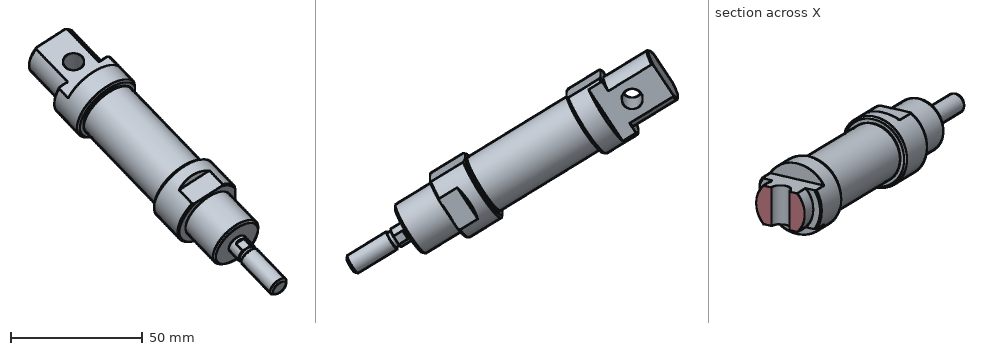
import cadquery as cq
import math


total_length = 141.0

cap_radius = 14.5
cap_side_flat = 13.1
cap_chamfer = 0.5
cap_joint_chamfer = 0.8

tongue_length = 20.0
tongue_radius = 11.0
tongue_thickness = 16.0
shoulder_x = 26.0
rear_cap_end = 35.35
pivot_hole_x = 14.0
pivot_hole_diameter = 8.0

tube_radius = 12.0
collar_length = 0.35

front_cap_start = 81.2
front_cap_end = 97.0
nose_end = 114.7
nose_radius = 11.0
nose_chamfer = 0.8
cap_wrench_size = 25.0
cap_wrench_start = 88.4

rod_radius = 4.0
rod_wrench_size = 7.0
rod_wrench_start = 116.5
relief_start = 120.7
relief_end = 122.5
relief_radius = 3.3
rod_tip_chamfer = 0.8

runout_angle = math.radians(60)
cutter_margin = 1.0


def cylinder(start, end, radius):
    """Solid cylinder on the X axis."""
    return cq.Workplane("YZ", origin=(start, 0, 0)).circle(radius).extrude(end - start)


def wrench_flat_cutters(start, end, wrench_size, radius):
    """Material above and below a pair of flats, with a sloped run-out at the start."""
    half = wrench_size / 2
    top = radius + cutter_margin
    runout = (top - half) / math.tan(runout_angle)
    upper = (
        cq.Workplane("XZ")
        .polyline([(start, half), (end, half), (end, top), (start - runout, top)])
        .close()
        .extrude(radius, both=True)
    )
    return upper.union(upper.mirror("XY"))


def cut_side_flat(cap):
    """Trim the +Y side of a cap to a flat."""
    box = cap.val().BoundingBox()
    trim = (
        cq.Workplane("XY")
        .box(box.xlen, cap_radius, 2 * cap_radius, centered=(False, False, True))
        .translate((box.xmin, cap_side_flat, 0))
    )
    return cap.cut(trim)


def make_rear_cap():
    cap = cylinder(tongue_length, rear_cap_end, cap_radius)
    cap = cap.faces("<X").chamfer(cap_chamfer)
    cap = cap.faces(">X").chamfer(cap_joint_chamfer)
    tongue = cylinder(0, tongue_length, tongue_radius).faces("<X").chamfer(cap_chamfer)
    cap = cut_side_flat(cap.union(tongue))

    slab = cq.Workplane("XY").box(
        shoulder_x, 2 * cap_radius, tongue_thickness, centered=(False, True, True)
    )
    cap = cap.intersect(slab.union(cylinder(shoulder_x, rear_cap_end, cap_radius)))

    pivot_hole = (
        cq.Workplane("XY")
        .center(pivot_hole_x, 0)
        .circle(pivot_hole_diameter / 2)
        .extrude(tongue_thickness, both=True)
    )
    collar = cylinder(rear_cap_end, rear_cap_end + collar_length, tube_radius)
    return cap.cut(pivot_hole).union(collar)


def make_tube():
    return cylinder(rear_cap_end + collar_length, front_cap_start - collar_length, tube_radius)


def make_front_cap():
    cap = cylinder(front_cap_start, front_cap_end, cap_radius)
    cap = cap.faces("<X").chamfer(cap_joint_chamfer)
    cap = cap.faces(">X").chamfer(cap_chamfer)
    cap = cap.cut(wrench_flat_cutters(cap_wrench_start, front_cap_end, cap_wrench_size, cap_radius))
    nose = cylinder(front_cap_end, nose_end, nose_radius).faces(">X").chamfer(nose_chamfer)
    collar = cylinder(front_cap_start - collar_length, front_cap_start, tube_radius)
    return cut_side_flat(cap).union(nose).union(collar)


def make_rod():
    shank = cylinder(nose_end, relief_start, rod_radius)
    shank = shank.cut(wrench_flat_cutters(rod_wrench_start, relief_start, rod_wrench_size, rod_radius))
    relief = cylinder(relief_start, relief_end, relief_radius)
    stud = cylinder(relief_end, total_length, rod_radius).faces(">X").chamfer(rod_tip_chamfer)
    return shank.union(relief).union(stud)


rear_cap = make_rear_cap()
tube = make_tube()
front_cap = make_front_cap()
rod = make_rod()

result = cq.Compound.makeCompound([rear_cap.val(), tube.val(), front_cap.val(), rod.val()])